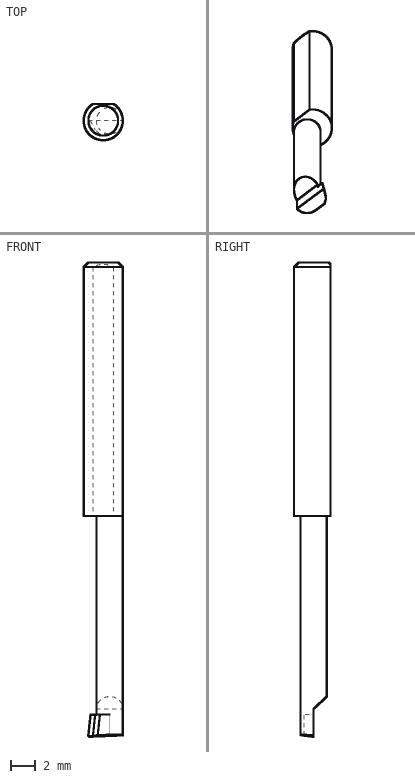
import cadquery as cq

total_length = 38.1
shank_diameter = 3.15
shank_radius = shank_diameter / 2
across_flat = 2.95
flat_y = across_flat - shank_radius
shank_chamfer = 0.4
neck_diameter = 2.15
neck_radius = neck_diameter / 2
neck_length = 17.7
neck_x = shank_radius - neck_radius

rake_y = 0
rake_height = 2.25
runout_height = 3.25
tooth_height = 1.8
tooth_lean = 0.2
tip_x = -1.22
flank_point = (-0.85, -0.75)
heel_x = -0.45

front_rise = 0.1
relief_rise = 0.1
nose_bevel = 0.1
cutter_depth = 0.4


def make_shank():
    shank = (
        cq.Workplane("XY", origin=(0, 0, neck_length))
        .circle(shank_radius)
        .extrude(total_length - neck_length)
        .faces(">Z")
        .chamfer(shank_chamfer)
    )
    flat_cutter = (
        cq.Workplane("XY", origin=(0, shank_radius, neck_length))
        .rect(2 * shank_radius, 2 * (shank_radius - flat_y))
        .extrude(total_length - neck_length)
    )
    return shank.cut(flat_cutter)


def make_neck():
    neck = cq.Workplane("XY").center(neck_x, 0).circle(neck_radius).extrude(neck_length)
    slope = (runout_height - rake_height) / (neck_radius - rake_y)
    outer_y = 2 * neck_radius
    outer_height = rake_height + slope * (outer_y - rake_y)
    rake_cutter = (
        cq.Workplane("YZ", origin=(neck_x, 0, 0))
        .polyline([(rake_y, 0), (rake_y, rake_height), (outer_y, outer_height), (outer_y, 0)])
        .close()
        .extrude(neck_radius, both=True)
    )
    return neck.cut(rake_cutter)


def tooth_outline(lean):
    return [
        (tip_x + lean, rake_y),
        (flank_point[0] + lean, flank_point[1]),
        (heel_x + lean, -neck_radius),
        (neck_x, -neck_radius),
        (neck_x, rake_y),
    ]


def make_tooth():
    return (
        cq.Workplane("XY")
        .polyline(tooth_outline(0))
        .close()
        .workplane(offset=tooth_height)
        .polyline(tooth_outline(tooth_lean))
        .close()
        .loft(ruled=True)
    )


def make_relief_cutter():
    def section(y, rise):
        return (
            cq.Workplane("XZ", origin=(0, y, 0))
            .polyline([
                (tip_x, -cutter_depth),
                (tip_x, rise + nose_bevel),
                (tip_x + nose_bevel, rise),
                (shank_radius, rise + front_rise),
                (shank_radius, -cutter_depth),
            ])
            .close()
            .wires()
            .val()
        )

    return cq.Solid.makeLoft([section(rake_y, 0), section(-neck_radius, relief_rise)], True)


result = make_shank().union(make_neck()).union(make_tooth()).cut(cq.Workplane(make_relief_cutter()))